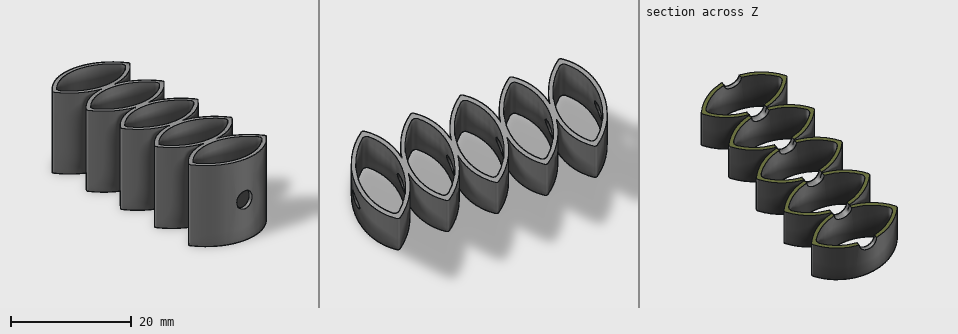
import cadquery as cq
import math

total_length = 44.0
height = 15.0

cell_count = 5
cell_pitch = 8.75
cell_width = total_length - (cell_count - 1) * cell_pitch
outer_radius = 10.05
wall = 0.75

outer_tip_radius = 0.55
inner_tip_radius = 0.9

hole_diameter = 3.3

arc_offset = outer_radius - cell_width / 2


def lens_prism(side_radius, tip_radius):
    """Upright lens with rounded tips, centred on the origin."""
    half_width = side_radius - arc_offset
    tip_centre_y = math.sqrt((side_radius - tip_radius) ** 2 - arc_offset ** 2)
    tip_y = tip_centre_y + tip_radius
    reach = side_radius / (side_radius - tip_radius)
    tangent_x = arc_offset * (reach - 1)
    tangent_y = tip_centre_y * reach
    return (
        cq.Workplane("XY")
        .moveTo(tangent_x, -tangent_y)
        .threePointArc((half_width, 0), (tangent_x, tangent_y))
        .threePointArc((0, tip_y), (-tangent_x, tangent_y))
        .threePointArc((-half_width, 0), (-tangent_x, -tangent_y))
        .threePointArc((0, -tip_y), (tangent_x, -tangent_y))
        .close()
        .extrude(height / 2, both=True)
    )


def row_of(prism):
    """Join copies of a prism spaced one pitch apart along X."""
    row = cq.Workplane("XY")
    for index in range(cell_count):
        x = (index - (cell_count - 1) / 2) * cell_pitch
        row = row.add(prism.translate((x, 0, 0)))
    return row.combine()


outer_cells = row_of(lens_prism(outer_radius, outer_tip_radius))
openings = row_of(lens_prism(outer_radius - wall, inner_tip_radius))

cross_hole = cq.Workplane("YZ").circle(hole_diameter / 2).extrude(total_length, both=True)

result = outer_cells.cut(openings).cut(cross_hole)